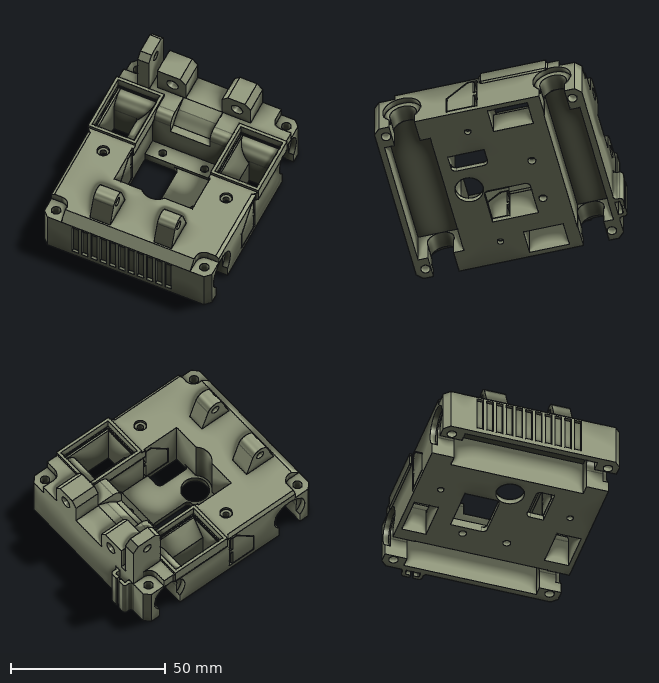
import cadquery as cq
import math

BODY_HALF_X = 29.95
BODY_Y = 69.1
DECK_Z = 18.4
CORNER_CHAMFER = 1.95
FRONT_BEVEL_Y = 3.2
SIDE_BEVEL_X = 1.15
SIDE_BEVEL_Z = 0.9

SEAT_Z = 15.5
SEAT_X = 6.9
SEAT_Y = 7.2
SEAT_RADIUS = 3.0
CORNER_HOLE_D = 3.0
CORNER_HOLE_X = 26.5
CORNER_HOLE_INSET_Y = 3.5

WELL_HALF_X = 14.0
WELL_FRONT_Y = 20.95
WELL_BACK_Y = 50.05
FLOOR_Z = 2.0
STRIP_FRONT_Y = 44.2
STRIP_Z = 3.1
STRIP_HOLE_D = 2.5
STRIP_HOLE_Y = 47.0
STRIP_HOLES_X = (-8.9, 6.05)
LIP_RADIUS = 3.45
FLOOR_HOLE_D = 9.2
FLOOR_HOLE_Y = 24.6
FLOOR_HOLE_RELIEF_D = 10.95
WINDOW_RADIUS = 1.5
LEFT_WINDOW_X = -1.95
LEFT_WINDOW_Y = 28.95
RIGHT_WINDOW_X = 8.1
RIGHT_WINDOW_Y = 33.05

NOTCH_X = (-7.55, 6.5)
NOTCH_BACK_Y = 59.9
NOTCH_CREST = (56.15, 16.4)
NOTCH_FOOT = (52.1, 12.95)
NOTCH_END_Z = 11.95

OVERALL_X = 61.0
FUNNEL_X = (13.4, OVERALL_X / 2)
FUNNEL_Y = (35.9, 57.7)
RIM_Z = 19.45
FUNNEL_BASE_Z = 14.2
FUNNEL_BASE_FRONT_Y = 34.5
FUNNEL_OVERHANG = FUNNEL_X[1] - BODY_HALF_X
RIM_WALL = 1.1
RIM_STEP = 0.4
RIM_STEP_Z = 16.4
MOUTH_X = (15.4, 28.3)
MOUTH_Y = (37.7, 56.1)
MOUTH_Z = 15.85
THROAT_DEPTH = 6.2
THROAT_RADIUS = 5.75
THROAT_SLOPE_X = 4.7
THROAT_SLOPE_Y = 5.1

AXLES_Y = (9.6, 59.55)
AXLE_Z = 8.7
AXLE_D = 8.9
AXLE_SLOT_Y = 8.5
AXLE_RECESS_D = 12.6
AXLE_RECESS_X = 1.9
AXLE_WALL_X = 7.5
END_WALL = 2.0
FRONT_CAVITY_BACK_Y = 17.3

VENT_COUNT = 11
VENT_PITCH = 3.3
VENT_X = 2.2
VENT_START_X = -19.1
VENT_Z = (1.9, 14.7)
VENT_DEPTH = 1.0

EARS_X = ((-14.55, -7.3), (8.35, 14.6))
EAR_Y = 9.35
EAR_BASE_HALF_Y = 5.6
EAR_Z = 24.3
EAR_RADIUS = 3.25
EAR_HOLE_D = 2.9

LUG_TOP_Z = 27.5
LUG_CHAMFER = 2.0
LUG_HOLE_D = 4.0
LUG_HOLE_X = 11.5
LUG_HOLE_Z = 23.0
LEFT_LUG_X = (-16.9, -6.8)
RIGHT_LUG_X = (6.3, 16.4)

TOWER_X = (-23.05, -19.0)
TOWER_FRONT_Y = 57.8
TOWER_TOP_Z = 35.0
TOWER_CHAMFER = 2.1
TOWER_HOLE_D = 3.2
TOWER_HOLE_Y = 63.2
TOWER_HOLE_Z = 30.45

HOOKS_X = -18.5
HOOK_HALF_SPAN = 3.5
HOOK_HALF_GAP = 0.4
HOOK_Y = 2.9
HOOK_THICKNESS = 1.15
HOOK_RADIUS = 1.1
HOOK_BEVEL = 0.3

TUNNEL_Y = (24.4, 34.7)
TUNNEL_Z = (1.9, 16.5)
TUNNEL_SLANT = 7.05
FLAP_CLEARANCE = 0.3
FLAP_BACK_Y = 33.8
FLAP_BEVEL = 0.5
TAB_Z = (8.35, 10.1)
PIVOT_HOLE_D = 2.0
PIVOT_HEAD_D = 4.0
PIVOT_HEAD_DEPTH = 1.0
PIVOT_X = 21.95
PIVOT_Y = 29.6

CUT_TOP_Z = 21.6


def block(x, y, z):
    """Box between the given (low, high) limits."""
    return cq.Workplane("XY").box(
        x[1] - x[0], y[1] - y[0], z[1] - z[0], centered=False
    ).translate((x[0], y[0], z[0]))


def upright(x, y, diameter, z_low, z_high):
    """Vertical cylinder."""
    return cq.Workplane("XY", origin=(x, y, z_low)).circle(diameter / 2).extrude(z_high - z_low)


def along_x(x, y, z, diameter):
    """Cylinder along X between the (low, high) limits x."""
    return cq.Workplane("YZ", origin=(x[0], y, z)).circle(diameter / 2).extrude(x[1] - x[0])


def profile_yz(x):
    """Workplane for a Y-Z outline that starts at the lower X limit."""
    return cq.Workplane("YZ", origin=(x[0], 0, 0))


def both_sides(shape):
    """The shape and its mirror image across the X = 0 plane."""
    return [shape, shape.mirror("YZ")]


def make_block():
    """Main block with chamfered vertical corners, bevels and corner seats."""
    body = block((-BODY_HALF_X, BODY_HALF_X), (0, BODY_Y), (0, DECK_Z))
    body = body.edges("|Z").chamfer(CORNER_CHAMFER)
    front_bevel = (
        profile_yz((-BODY_HALF_X, BODY_HALF_X))
        .polyline([(0, SEAT_Z), (FRONT_BEVEL_Y, DECK_Z), (0, DECK_Z)])
        .close()
        .extrude(2 * BODY_HALF_X)
    )
    body = body.cut(front_bevel)
    side_bevel = (
        cq.Workplane("XZ", origin=(0, SEAT_Y, 0))
        .polyline([
            (BODY_HALF_X, DECK_Z - SIDE_BEVEL_Z),
            (BODY_HALF_X, DECK_Z),
            (BODY_HALF_X - SIDE_BEVEL_X, DECK_Z),
        ])
        .close()
        .extrude(SEAT_Y - FUNNEL_Y[0])
    )
    front_seat = block(
        (BODY_HALF_X - SEAT_X, BODY_HALF_X), (0, SEAT_Y), (SEAT_Z, DECK_Z)
    ).edges("|Z and <X and >Y").fillet(SEAT_RADIUS)
    back_seat = front_seat.mirror("XZ").translate((0, BODY_Y, 0))
    for tool in (side_bevel, front_seat, back_seat):
        for copy in both_sides(tool):
            body = body.cut(copy)
    return body


def well_cuts():
    """Well, its rounded back lip and the sloped notch in that lip."""
    x = (-WELL_HALF_X, WELL_HALF_X)
    well = block(x, (WELL_FRONT_Y, STRIP_FRONT_Y), (FLOOR_Z, CUT_TOP_Z))
    strip = block(x, (STRIP_FRONT_Y, WELL_BACK_Y), (STRIP_Z, CUT_TOP_Z))
    relief = upright(0, FLOOR_HOLE_Y, FLOOR_HOLE_RELIEF_D, FLOOR_Z, CUT_TOP_Z)
    lip = (
        profile_yz(x)
        .moveTo(WELL_BACK_Y, DECK_Z - LIP_RADIUS)
        .radiusArc((WELL_BACK_Y + LIP_RADIUS, DECK_Z), LIP_RADIUS)
        .lineTo(WELL_BACK_Y, DECK_Z)
        .close()
        .extrude(2 * WELL_HALF_X)
    )
    notch = (
        profile_yz(NOTCH_X)
        .moveTo(WELL_BACK_Y, DECK_Z)
        .lineTo(NOTCH_BACK_Y, DECK_Z)
        .lineTo(*NOTCH_CREST)
        .tangentArcPoint(NOTCH_FOOT, relative=False)
        .lineTo(WELL_BACK_Y, NOTCH_END_Z)
        .close()
        .extrude(NOTCH_X[1] - NOTCH_X[0])
    )
    return [well, strip, relief, lip, notch]


def floor_cuts():
    """Openings through the floor of the well."""
    left_window = block(
        (-WELL_HALF_X, LEFT_WINDOW_X), (LEFT_WINDOW_Y, STRIP_FRONT_Y), (0, FLOOR_Z)
    ).edges("|Z and >X").fillet(WINDOW_RADIUS)
    right_window = block(
        (RIGHT_WINDOW_X, WELL_HALF_X), (WELL_FRONT_Y, RIGHT_WINDOW_Y), (0, FLOOR_Z)
    ).edges("|Z and <X").fillet(WINDOW_RADIUS)
    round_hole = upright(0, FLOOR_HOLE_Y, FLOOR_HOLE_D, 0, FLOOR_Z)
    strip_holes = [upright(x, STRIP_HOLE_Y, STRIP_HOLE_D, 0, STRIP_Z) for x in STRIP_HOLES_X]
    return [left_window, right_window, round_hole, *strip_holes]


def funnel_box():
    """Right funnel body: a tapered base that overhangs the side and the well, and a rim."""
    inner, outer = FUNNEL_X
    front_taper = FUNNEL_Y[0] - FUNNEL_BASE_FRONT_Y
    back_y = FUNNEL_Y[1] + FUNNEL_OVERHANG
    base = (
        cq.Workplane("XY", origin=(0, 0, FUNNEL_BASE_Z))
        .polyline([
            (inner, FUNNEL_BASE_FRONT_Y),
            (outer - front_taper, FUNNEL_BASE_FRONT_Y),
            (outer, FUNNEL_Y[0]),
            (outer, FUNNEL_Y[1]),
            (outer - FUNNEL_OVERHANG, back_y),
            (inner, back_y),
        ])
        .close()
        .extrude(DECK_Z - FUNNEL_BASE_Z)
        .faces("<Z").edges().chamfer(FUNNEL_OVERHANG)
    )
    return base.union(block(FUNNEL_X, FUNNEL_Y, (DECK_Z, RIM_Z)))


def inset(limits, distance):
    """The (low, high) limits, moved inwards at both ends."""
    return (limits[0] + distance, limits[1] - distance)


def funnel_cuts():
    """Right funnel opening: stepped rim pocket, a throat that narrows, and a straight shaft."""
    pocket = block(inset(FUNNEL_X, RIM_WALL), inset(FUNNEL_Y, RIM_WALL), (RIM_STEP_Z, RIM_Z))
    step = RIM_WALL + RIM_STEP
    ledge = block(inset(FUNNEL_X, step), inset(FUNNEL_Y, step), (MOUTH_Z, RIM_Z))
    throat_z = MOUTH_Z - THROAT_DEPTH
    shaft_x = (MOUTH_X[0] + THROAT_SLOPE_X, MOUTH_X[1])
    shaft_back_y = MOUTH_Y[1] - THROAT_SLOPE_Y
    shaft = block(shaft_x, (MOUTH_Y[0], shaft_back_y), (0, MOUTH_Z))
    rounded_back = (
        profile_yz(MOUTH_X)
        .moveTo(MOUTH_Y[0], throat_z)
        .lineTo(shaft_back_y, throat_z)
        .radiusArc((MOUTH_Y[1], MOUTH_Z), THROAT_RADIUS)
        .lineTo(MOUTH_Y[0], MOUTH_Z)
        .close()
        .extrude(MOUTH_X[1] - MOUTH_X[0])
    )
    sloped_side = (
        cq.Workplane("XZ", origin=(0, MOUTH_Y[0], 0))
        .polyline([
            (shaft_x[0], throat_z),
            (MOUTH_X[1], throat_z),
            (MOUTH_X[1], MOUTH_Z),
            (MOUTH_X[0], MOUTH_Z),
        ])
        .close()
        .extrude(MOUTH_Y[0] - MOUTH_Y[1])
    )
    return [pocket, ledge, shaft, rounded_back.intersect(sloped_side)]


def axle_cuts():
    """Axle bores open to the underside, their outer recesses, and the cavities between them."""
    cuts = []
    full_x = (-BODY_HALF_X, BODY_HALF_X)
    cavity_half_x = BODY_HALF_X - AXLE_WALL_X
    cavity_top_z = AXLE_Z + AXLE_D / 2
    cavities_y = (
        (END_WALL, FRONT_CAVITY_BACK_Y),
        (AXLES_Y[1] - AXLE_D / 2, BODY_Y - END_WALL),
    )
    for y, cavity_y in zip(AXLES_Y, cavities_y):
        cuts.append(along_x(full_x, y, AXLE_Z, AXLE_D))
        cuts.append(block(full_x, (y - AXLE_SLOT_Y / 2, y + AXLE_SLOT_Y / 2), (0, AXLE_Z)))
        cuts.append(block((-cavity_half_x, cavity_half_x), cavity_y, (0, cavity_top_z)))
        recess = along_x((BODY_HALF_X - AXLE_RECESS_X, BODY_HALF_X), y, AXLE_Z, AXLE_RECESS_D)
        cuts.extend(both_sides(recess))
    return cuts


def corner_hole_cuts():
    """Screw holes through the four corner seats."""
    holes = []
    for y in (CORNER_HOLE_INSET_Y, BODY_Y - CORNER_HOLE_INSET_Y):
        holes.extend(both_sides(upright(CORNER_HOLE_X, y, CORNER_HOLE_D, 0, SEAT_Z)))
    return holes


def vent_cuts():
    """Row of shallow vertical recesses in the front face."""
    starts = [VENT_START_X + i * VENT_PITCH for i in range(VENT_COUNT)]
    return [block((x, x + VENT_X), (0, VENT_DEPTH), VENT_Z) for x in starts]


def front_ear(x):
    """Ear with straight flanks tangent to its round top."""
    reach = math.hypot(EAR_BASE_HALF_Y, EAR_Z - DECK_Z)
    angle = math.atan2(DECK_Z - EAR_Z, EAR_BASE_HALF_Y) + math.acos(EAR_RADIUS / reach)
    touch_y = EAR_RADIUS * math.cos(angle)
    touch_z = EAR_Z + EAR_RADIUS * math.sin(angle)
    ear = (
        profile_yz(x)
        .moveTo(EAR_Y - EAR_BASE_HALF_Y, DECK_Z)
        .lineTo(EAR_Y - touch_y, touch_z)
        .threePointArc((EAR_Y, EAR_Z + EAR_RADIUS), (EAR_Y + touch_y, touch_z))
        .lineTo(EAR_Y + EAR_BASE_HALF_Y, DECK_Z)
        .close()
        .extrude(x[1] - x[0])
    )
    return ear.cut(along_x(x, EAR_Y, EAR_Z, EAR_HOLE_D))


def back_lug(x, chamfered_edges, hole_x):
    """Block at the back edge with chamfered top edges and a hole along Y."""
    lug = block(x, (NOTCH_BACK_Y, BODY_Y), (DECK_Z, LUG_TOP_Z))
    lug = lug.edges(chamfered_edges).chamfer(LUG_CHAMFER)
    hole = (
        cq.Workplane("XZ", origin=(hole_x, BODY_Y, LUG_HOLE_Z))
        .circle(LUG_HOLE_D / 2)
        .extrude(BODY_Y - NOTCH_BACK_Y)
    )
    return lug.cut(hole)


def make_tower():
    """Tall plate with chamfered top ends and a hole along X."""
    tower = block(TOWER_X, (TOWER_FRONT_Y, BODY_Y), (SEAT_Z, TOWER_TOP_Z))
    tower = tower.faces(">Z").edges("|X").chamfer(TOWER_CHAMFER)
    return tower.cut(along_x(TOWER_X, TOWER_HOLE_Y, TOWER_HOLE_Z, TOWER_HOLE_D))


def hooks():
    """Pair of hooks that face each other on the back face."""
    outer = HOOK_HALF_SPAN
    post = outer - HOOK_THICKNESS
    arm_y = HOOK_Y - HOOK_THICKNESS
    hook = (
        cq.Workplane("XY")
        .moveTo(outer + HOOK_RADIUS, 0)
        .radiusArc((outer, HOOK_RADIUS), HOOK_RADIUS)
        .lineTo(outer, HOOK_Y - HOOK_RADIUS)
        .radiusArc((outer - HOOK_RADIUS, HOOK_Y), -HOOK_RADIUS)
        .lineTo(HOOK_HALF_GAP + HOOK_BEVEL, HOOK_Y)
        .lineTo(HOOK_HALF_GAP, HOOK_Y - HOOK_BEVEL)
        .lineTo(HOOK_HALF_GAP, arm_y)
        .lineTo(post - HOOK_BEVEL, arm_y)
        .lineTo(post, arm_y - HOOK_BEVEL)
        .lineTo(post, 0)
        .close()
        .extrude(SEAT_Z)
    )
    return [copy.translate((HOOKS_X, BODY_Y, 0)) for copy in both_sides(hook)]


def slanted_prism(y, z, slant):
    """Prism from the well to the outer side, with its upper front corner cut off at 45 degrees."""
    prism = block((WELL_HALF_X, BODY_HALF_X), y, z)
    return prism.edges("|X and >Z and <Y").chamfer(slant)


def pivot_hole():
    """Vertical screw hole through the right deck, flap and underside."""
    return upright(PIVOT_X, PIVOT_Y, PIVOT_HOLE_D, 0, DECK_Z)


def make_flap():
    """Right flap: fits its tunnel with a clearance and has a tab towards the back."""
    z = inset(TUNNEL_Z, FLAP_CLEARANCE)
    front_y = TUNNEL_Y[0] + FLAP_CLEARANCE
    slant = TUNNEL_SLANT - FLAP_CLEARANCE * (2 - math.sqrt(2))
    flap = slanted_prism((front_y, FLAP_BACK_Y), z, slant)
    flap = flap.edges("|Z and >X and >Y").chamfer(FLAP_BEVEL)
    tab_y = (FLAP_BACK_Y - FLAP_BEVEL, TUNNEL_Y[1] - FLAP_CLEARANCE)
    flap = flap.union(block((WELL_HALF_X, BODY_HALF_X), tab_y, TAB_Z))
    return flap.cut(pivot_hole())


def make_housing():
    """Block with its well, funnels, lugs, hooks and openings as one solid."""
    housing = make_block()
    for cut in well_cuts() + floor_cuts():
        housing = housing.cut(cut)
    for box in both_sides(funnel_box()):
        housing = housing.union(box)
    added = [front_ear(x) for x in EARS_X]
    added.append(back_lug(LEFT_LUG_X, "|Y and >Z and >X", -LUG_HOLE_X))
    added.append(back_lug(RIGHT_LUG_X, "|Y and >Z", LUG_HOLE_X))
    added.append(make_tower())
    added.extend(hooks())
    for part in added:
        housing = housing.union(part)
    pivot_head = upright(PIVOT_X, PIVOT_Y, PIVOT_HEAD_D, DECK_Z - PIVOT_HEAD_DEPTH, DECK_Z)
    tunnel = slanted_prism(TUNNEL_Y, TUNNEL_Z, TUNNEL_SLANT)
    cuts = axle_cuts() + corner_hole_cuts() + vent_cuts()
    for cut in funnel_cuts() + [pivot_head, pivot_hole(), tunnel]:
        cuts.extend(both_sides(cut))
    for cut in cuts:
        housing = housing.cut(cut)
    return housing


housing = make_housing()
flaps = both_sides(make_flap())

result = cq.Compound.makeCompound([housing.val(), *[flap.val() for flap in flaps]])